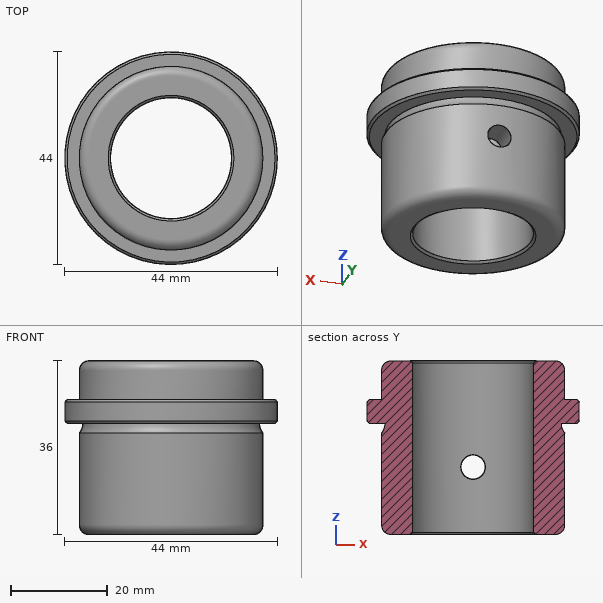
import cadquery as cq
import math

total_height = 36.0
body_radius = 19.0
bore_radius = 12.5
end_rounding = 2.0
edge_chamfer = 0.5

collar_radius = 22.0
collar_bottom = 23.0
collar_height = 5.0

groove_depth = 0.7
groove_arc_radius = 3.0
groove_floor_radius = body_radius - groove_depth
groove_center_radius = groove_floor_radius + groove_arc_radius

hole_diameter = 5.0
hole_height = 14.0


def make_body():
    return (
        cq.Workplane("XY")
        .circle(body_radius)
        .extrude(total_height)
        .faces("<Z or >Z")
        .edges()
        .fillet(end_rounding)
    )


def make_collar():
    return (
        cq.Workplane("XY")
        .workplane(offset=collar_bottom)
        .circle(collar_radius)
        .extrude(collar_height)
        .faces("<Z or >Z")
        .edges()
        .chamfer(edge_chamfer)
    )


def make_groove():
    """Ring whose arc is vertical at the collar and runs out at the body surface below."""
    full_angle = math.acos((groove_center_radius - body_radius) / groove_arc_radius)
    half_angle = full_angle / 2

    def arc_point(angle):
        return (
            groove_center_radius - groove_arc_radius * math.cos(angle),
            collar_bottom - groove_arc_radius * math.sin(angle),
        )

    return (
        cq.Workplane("XZ")
        .moveTo(*arc_point(0))
        .threePointArc(arc_point(half_angle), arc_point(full_angle))
        .lineTo(collar_radius, arc_point(full_angle)[1])
        .lineTo(collar_radius, collar_bottom)
        .close()
        .revolve(360, (0, 0, 0), (0, 1, 0))
    )


def make_bore():
    """Through bore widened by a 45 degree chamfer at both ends."""
    mouth_radius = bore_radius + edge_chamfer
    return (
        cq.Workplane("XZ")
        .moveTo(0, 0)
        .lineTo(mouth_radius, 0)
        .lineTo(bore_radius, edge_chamfer)
        .lineTo(bore_radius, total_height - edge_chamfer)
        .lineTo(mouth_radius, total_height)
        .lineTo(0, total_height)
        .close()
        .revolve(360, (0, 0, 0), (0, 1, 0))
    )


def make_radial_hole():
    return (
        cq.Workplane("XZ")
        .center(0, hole_height)
        .circle(hole_diameter / 2)
        .extrude(-collar_radius)
    )


result = (
    make_body()
    .cut(make_groove())
    .union(make_collar())
    .cut(make_bore())
    .cut(make_radial_hole())
)